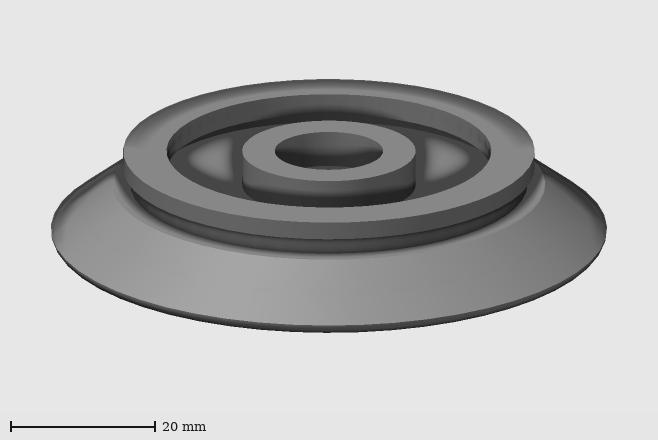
import cadquery as cq
import math

outer_diameter = 77.0
total_height = 13.0

rim_radius = 1.55
shoulder_diameter = 59.9
neck_diameter = 55.0
disc_diameter = 57.0
disc_thickness = 2.5
neck_height = 2.5

lip_diameter = 45.0
lip_thickness = 3.0
undercut_diameter = 50.0
pocket_depth = 5.0
hub_diameter = 24.0
hub_hole_diameter = 15.0

neck_top = total_height - disc_thickness
shoulder_level = neck_top - neck_height
pocket_floor = total_height - pocket_depth
lip_underside = total_height - lip_thickness


def cylinder(diameter, bottom, top):
    """Solid cylinder on the Z axis between two levels."""
    return cq.Workplane("XY", origin=(0, 0, bottom)).circle(diameter / 2).extrude(top - bottom)


def make_skirt():
    """Conical skirt with a quarter-round rim curving from its widest edge into the bottom face."""
    outer_radius = outer_diameter / 2
    arc_center_x = outer_radius - rim_radius
    arc_mid_offset = rim_radius * math.sqrt(0.5)

    return (
        cq.Workplane("XZ")
        .lineTo(arc_center_x, 0)
        .threePointArc(
            (arc_center_x + arc_mid_offset, rim_radius - arc_mid_offset),
            (outer_radius, rim_radius),
        )
        .lineTo(shoulder_diameter / 2, shoulder_level)
        .lineTo(0, shoulder_level)
        .close()
        .revolve(360, (0, 0, 0), (0, 1, 0))
    )


def make_pocket():
    """Ring-shaped cavity: a lip opening above a wider undercut, less the hub."""
    opening = cylinder(lip_diameter, pocket_floor, total_height)
    undercut = cylinder(undercut_diameter, pocket_floor, lip_underside)
    hub = cylinder(hub_diameter, pocket_floor, total_height)
    return opening.union(undercut).cut(hub)


neck = cylinder(neck_diameter, shoulder_level, neck_top)
disc = cylinder(disc_diameter, neck_top, total_height)
hub_hole = cylinder(hub_hole_diameter, pocket_floor, total_height)

result = make_skirt().union(neck).union(disc).cut(make_pocket()).cut(hub_hole)